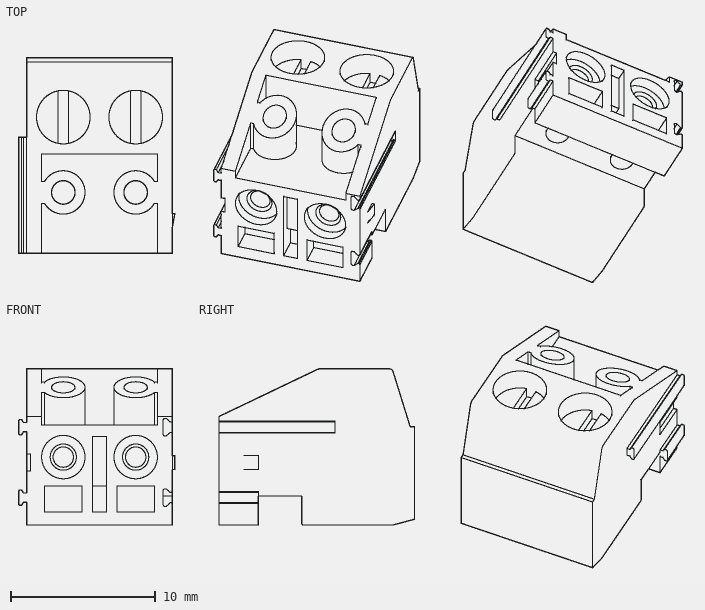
import cadquery as cq

WIDTH = 10.06
LENGTH = 13.5
HEIGHT = 10.8
POLE_PITCH = 5.0
POLE_CENTRES = (-POLE_PITCH / 2, POLE_PITCH / 2)
LEFT_X = -WIDTH / 2
RIGHT_X = WIDTH / 2

FRONT_HEIGHT = 7.5
TOP_FRONT_Y = 6.88
TOP_REAR_Y = 11.96
SHELF_HEIGHT = 6.8
SHELF_DEPTH = 0.3
HEEL_LENGTH = 1.5
HEEL_RISE = 0.4
TOP_RADIUS = 0.3
FOOT_LENGTH = 2.73
NOTCH_REAR_Y = 5.71
NOTCH_HEIGHT = 2.01
NOTCH_RADIUS = 0.14

SIDE_WALL = 1.03
TERRACE_HEIGHT = 6.93
TERRACE_REAR_Y = 6.86
BOSS_DIAMETER = 3.0
BOSS_BORE = 1.6
BOSS_Y = 4.2
NECK_WIDTH = 1.5

RECESS_DIAMETER = 3.7
RECESS_DEPTH = 1.65
RECESS_Y = 9.4
DRIVER_SLOT_WIDTH = 0.7
DRIVER_SLOT_DEPTH = 0.8

SOCKET_HEIGHT = 4.7
SOCKET_DIAMETER = 3.0
SOCKET_DEPTH = 0.74
CONE_DIAMETER = 1.81
PIN_DIAMETER = 1.4
CONE_DEPTH = (CONE_DIAMETER - PIN_DIAMETER) / 2
PIN_DEPTH = 1.5
WINDOW_WIDTH = 2.6
WINDOW_BOTTOM = 0.92
WINDOW_TOP = 2.71
WINDOW_DEPTH = 1.5
SLOT_WIDTH = 1.0
SLOT_TOP = 6.13
SLOT_UPPER_DEPTH = 0.8

DOVETAIL_ROWS = ((6.76, 8.0), (1.9, FOOT_LENGTH))
DOVETAIL_RADIUS = 0.12
RAIL_REACH = 0.55
RAIL_NECK_REACH = 0.22
RAIL_NECK_HALF = 0.32
RAIL_HEAD_HALF = 0.54
RAIL_HEAD_THICKNESS = 0.2
GROOVE_DEPTH = 0.63
GROOVE_NECK_DEPTH = 0.15
GROOVE_NECK_HALF = 0.35
GROOVE_HEAD_HALF = 0.61
GROOVE_HEAD_THICKNESS = 0.22
GROOVE_MOUTH_CHAMFER = 0.07

LATCH_HEIGHT = 4.32
LATCH_RECESS_WIDTH = 1.19
LATCH_RECESS_DEPTH = 0.27
WEDGE_WIDTH = 0.97
WEDGE_REACH = 0.18
WEDGE_LENGTH = 1.0


def block(x_range, y_range, z_range):
    """Box spanning the given ranges."""
    size = [high - low for low, high in (x_range, y_range, z_range)]
    corner = (x_range[0], y_range[0], z_range[0])
    return cq.Workplane("XY").box(*size, centered=False).translate(corner)


def upright_cylinder(x, y, diameter, bottom, top):
    return cq.Workplane("XY", origin=(x, y, bottom)).circle(diameter / 2).extrude(top - bottom)


def side_solid():
    """Full-width body with the side outline, its top edges and notch edge rounded."""
    outline = [
        (0, 0),
        (FOOT_LENGTH, 0),
        (FOOT_LENGTH, NOTCH_HEIGHT),
        (NOTCH_REAR_Y, NOTCH_HEIGHT),
        (NOTCH_REAR_Y, 0),
        (LENGTH - HEEL_LENGTH, 0),
        (LENGTH, HEEL_RISE),
        (LENGTH, SHELF_HEIGHT),
        (LENGTH - SHELF_DEPTH, SHELF_HEIGHT),
        (TOP_REAR_Y, HEIGHT),
        (TOP_FRONT_Y, HEIGHT),
        (0, FRONT_HEIGHT),
    ]
    solid = cq.Workplane("YZ", origin=(LEFT_X, 0, 0)).polyline(outline).close().extrude(WIDTH)
    solid = solid.faces(">Z").edges("|X").fillet(TOP_RADIUS)
    notch_edge = cq.selectors.NearestToPointSelector((0, NOTCH_REAR_Y, 0))
    return solid.edges(notch_edge).fillet(NOTCH_RADIUS)


def terrace_cut():
    """Space above the terrace, leaving the two bosses and their necks to the side walls."""
    inner_x = RIGHT_X - SIDE_WALL
    space = block((-inner_x, inner_x), (0, TERRACE_REAR_Y), (TERRACE_HEIGHT, HEIGHT))
    neck_y = (BOSS_Y - NECK_WIDTH / 2, BOSS_Y + NECK_WIDTH / 2)
    for x, wall_x in zip(POLE_CENTRES, (-inner_x, inner_x)):
        space = space.cut(upright_cylinder(x, BOSS_Y, BOSS_DIAMETER, TERRACE_HEIGHT, HEIGHT))
        neck_x = (min(x, wall_x), max(x, wall_x))
        space = space.cut(block(neck_x, neck_y, (TERRACE_HEIGHT, HEIGHT)))
    return space


def screw_recess(x):
    """Round recess with a driver slot across its floor."""
    floor = HEIGHT - RECESS_DEPTH
    slot_floor = floor - DRIVER_SLOT_DEPTH
    recess = upright_cylinder(x, RECESS_Y, RECESS_DIAMETER, floor, HEIGHT)
    slot = upright_cylinder(x, RECESS_Y, RECESS_DIAMETER, slot_floor, floor).intersect(
        block(
            (x - DRIVER_SLOT_WIDTH / 2, x + DRIVER_SLOT_WIDTH / 2),
            (0, LENGTH),
            (slot_floor, floor),
        )
    )
    return recess.union(slot)


def socket(x):
    """Stepped round socket: counterbore, cone, then a blind pin bore."""
    cone_end = SOCKET_DEPTH + CONE_DEPTH
    bore_end = cone_end + PIN_DEPTH
    half_section = [
        (0, 0),
        (SOCKET_DIAMETER / 2, 0),
        (SOCKET_DIAMETER / 2, SOCKET_DEPTH),
        (CONE_DIAMETER / 2, SOCKET_DEPTH),
        (PIN_DIAMETER / 2, cone_end),
        (PIN_DIAMETER / 2, bore_end),
        (0, bore_end),
    ]
    turned = cq.Workplane("XY").polyline(half_section).close().revolve(360, (0, 0), (0, 1))
    return turned.translate((x, 0, SOCKET_HEIGHT))


def window(x):
    return block(
        (x - WINDOW_WIDTH / 2, x + WINDOW_WIDTH / 2),
        (0, WINDOW_DEPTH),
        (WINDOW_BOTTOM, WINDOW_TOP),
    )


def centre_slot():
    """Upright slot between the poles, deeper beside the windows."""
    slot_x = (-SLOT_WIDTH / 2, SLOT_WIDTH / 2)
    lower = block(slot_x, (0, WINDOW_DEPTH), (WINDOW_BOTTOM, WINDOW_TOP))
    upper = block(slot_x, (0, SLOT_UPPER_DEPTH), (WINDOW_TOP, SLOT_TOP))
    return lower.union(upper)


def dovetail(base_x, height, length, upper_half):
    """Dovetail bar starting at the front face, mirrored about its centre height.

    upper_half lists (reach to the left of base_x, rise above height), ending at the head's tip.
    """
    lower_half = [(reach, -rise) for reach, rise in reversed(upper_half)]
    points = [(base_x - reach, height + rise) for reach, rise in upper_half + lower_half]
    bar = cq.Workplane("XZ").polyline(points).close().extrude(-length)
    return bar.faces("<X").edges("|Y").fillet(DOVETAIL_RADIUS)


def rail(height, length):
    upper_half = [
        (0, RAIL_NECK_HALF),
        (RAIL_NECK_REACH, RAIL_NECK_HALF),
        (RAIL_REACH - RAIL_HEAD_THICKNESS, RAIL_HEAD_HALF),
        (RAIL_REACH, RAIL_HEAD_HALF),
    ]
    return dovetail(LEFT_X, height, length, upper_half)


def groove(height, length):
    """Groove that takes a rail, with a chamfered mouth."""
    upper_half = [
        (0, GROOVE_NECK_HALF + GROOVE_MOUTH_CHAMFER),
        (GROOVE_MOUTH_CHAMFER, GROOVE_NECK_HALF),
        (GROOVE_NECK_DEPTH, GROOVE_NECK_HALF),
        (GROOVE_DEPTH - GROOVE_HEAD_THICKNESS, GROOVE_HEAD_HALF),
        (GROOVE_DEPTH, GROOVE_HEAD_HALF),
    ]
    return dovetail(RIGHT_X, height, length, upper_half)


def latch_recess():
    return block(
        (LEFT_X, LEFT_X + LATCH_RECESS_DEPTH),
        (0, FOOT_LENGTH),
        (LATCH_HEIGHT - LATCH_RECESS_WIDTH / 2, LATCH_HEIGHT + LATCH_RECESS_WIDTH / 2),
    )


def latch_wedge():
    """Wedge that rises toward the rear."""
    outline = [
        (RIGHT_X, FOOT_LENGTH),
        (RIGHT_X + WEDGE_REACH, FOOT_LENGTH),
        (RIGHT_X, FOOT_LENGTH - WEDGE_LENGTH),
    ]
    bottom = LATCH_HEIGHT - WEDGE_WIDTH / 2
    return cq.Workplane("XY", origin=(0, 0, bottom)).polyline(outline).close().extrude(WEDGE_WIDTH)


result = side_solid().cut(terrace_cut())

for pole_x in POLE_CENTRES:
    result = result.cut(upright_cylinder(pole_x, BOSS_Y, BOSS_BORE, 0, HEIGHT))
    result = result.cut(screw_recess(pole_x))
    result = result.cut(socket(pole_x))
    result = result.cut(window(pole_x))

result = result.cut(centre_slot()).cut(latch_recess())

for row_height, row_length in DOVETAIL_ROWS:
    result = result.union(rail(row_height, row_length))
    result = result.cut(groove(row_height, row_length))

result = result.union(latch_wedge())